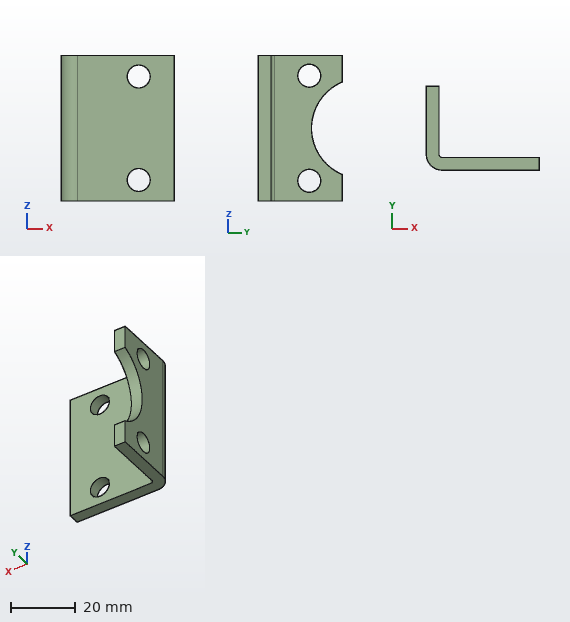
import cadquery as cq

width = 35.0
depth = 26.0
height = 45.0

thickness = 4.0
inner_bend_radius = 1.0
outer_bend_radius = inner_bend_radius + thickness

hole_diameter = 7.0
front_hole_x = 24.0
front_hole_spacing = 32.0
side_hole_y = 15.8
side_hole_spacing = 32.5

cutout_radius = 15.5
cutout_depth = 9.5

mid_height = height / 2


def bent_sheet():
    """L-shaped section with its outer corner at the origin, extruded upwards."""
    profile = (
        cq.Workplane("XY")
        .polyline([
            (0, 0),
            (width, 0),
            (width, thickness),
            (thickness, thickness),
            (thickness, depth),
            (0, depth),
        ])
        .close()
        .extrude(height)
    )
    outer_bend = profile.edges(cq.selectors.NearestToPointSelector((0, 0, mid_height)))
    rounded = outer_bend.fillet(outer_bend_radius)
    inner_corner = (thickness, thickness, mid_height)
    return rounded.edges(cq.selectors.NearestToPointSelector(inner_corner)).fillet(inner_bend_radius)


def front_holes():
    """Cutters along Y through the front leg."""
    offset = front_hole_spacing / 2
    return (
        cq.Workplane("XZ")
        .pushPoints([(front_hole_x, mid_height - offset), (front_hole_x, mid_height + offset)])
        .circle(hole_diameter / 2)
        .extrude(-thickness)
    )


def side_holes():
    """Cutters along X through the side leg."""
    offset = side_hole_spacing / 2
    return (
        cq.Workplane("YZ")
        .pushPoints([(side_hole_y, mid_height - offset), (side_hole_y, mid_height + offset)])
        .circle(hole_diameter / 2)
        .extrude(thickness)
    )


def edge_cutout():
    """Cylinder along X that scoops the free edge of the side leg."""
    center_y = depth - cutout_depth + cutout_radius
    return (
        cq.Workplane("YZ")
        .center(center_y, mid_height)
        .circle(cutout_radius)
        .extrude(thickness)
    )


result = bent_sheet().cut(front_holes()).cut(side_holes()).cut(edge_cutout())